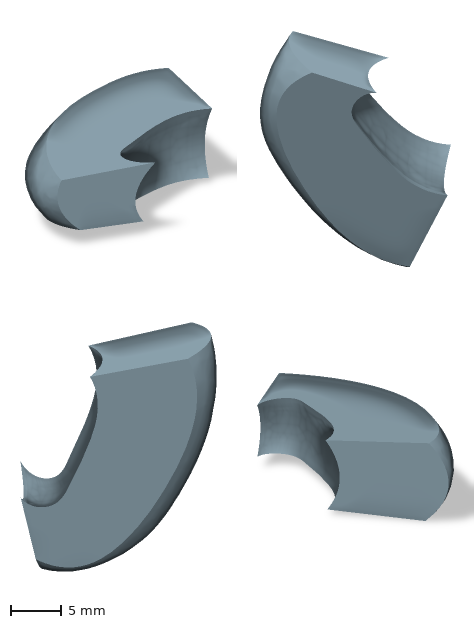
import cadquery as cq


BOTTOM_PLANE = (1.4, 0.013, -0.053)
TOP_PLANE = (7.1, -0.018, 0.049)
BELT_FRACTION = 0.43

THICK_END = {"side": 1, "offset": 36.35, "lean": 0.06}
THIN_END = {"side": -1, "offset": 7.5, "lean": -0.07}


def level_plane(fraction):
    """Plane at the given fraction of the way from the bottom face to the top face."""
    return [low + fraction * (high - low) for low, high in zip(BOTTOM_PLANE, TOP_PLANE)]


def on_plane(plane, x, y):
    """Point of the plane above the plan position (x, y)."""
    base, rise_x, rise_y = plane
    return cq.Vector(x, y, base + rise_x * x + rise_y * y)


def end_corner(plane, end, x):
    """Point with the given X where the plane meets a flat end face."""
    base, rise_x, rise_y = plane
    lean = end["lean"]
    y = (end["offset"] + lean * base + (lean * rise_x - 1) * x) / (end["side"] - lean * rise_y)
    return on_plane(plane, x, y)


def curved_side(plane, thick_end_x, thin_end_x, plan_points):
    """Smooth curve from the thick end to the thin end through the plan points."""
    start = end_corner(plane, THICK_END, thick_end_x)
    finish = end_corner(plane, THIN_END, thin_end_x)
    between = [on_plane(plane, x, y) for x, y in plan_points]
    return cq.Edge.makeSpline([start] + between + [finish])


def crescent(fraction, outer, inner):
    """Closed outline: outer curve, thin end, inner curve and thick end."""
    plane = level_plane(fraction)
    outer_edge = curved_side(plane, *outer)
    inner_edge = curved_side(plane, *inner)
    thin_edge = cq.Edge.makeLine(outer_edge.endPoint(), inner_edge.endPoint())
    thick_edge = cq.Edge.makeLine(inner_edge.startPoint(), outer_edge.startPoint())
    return cq.Wire.assembleEdges([outer_edge, thin_edge, inner_edge, thick_edge])


bottom_outline = crescent(
    0,
    outer=(8.0, 8.9, [(5.3, 25.7), (3.18, 20.87), (2.3, 15.12), (2.42, 9.07), (4.08, 4.08)]),
    inner=(15.1, 13.75, [(12.4, 18.45), (11.35, 15.42), (10.43, 10.28), (10.58, 7.55), (11.8, 6.4)]),
)
belt_outline = crescent(
    BELT_FRACTION,
    outer=(6.47, 7.32, [(3.93, 27.1), (1.2, 21.2), (0.05, 13.8), (0.35, 8.77), (3.0, 3.4), (5.0, 1.3)]),
    inner=(14.27, 13.1, [(11.8, 18.9), (10.75, 15.72), (9.77, 10.28), (9.98, 7.25), (11.2, 6.0)]),
)
top_outline = crescent(
    1,
    outer=(7.95, 7.32, [(5.15, 26.37), (3.2, 22.3), (2.0, 17.55), (2.4, 9.45), (4.3, 4.6)]),
    inner=(15.4, 14.58, [(12.73, 18.8), (11.65, 15.97), (10.6, 10.52), (10.77, 7.9), (11.73, 7.17), (13.18, 7.05)]),
)

result = cq.Workplane(cq.Solid.makeLoft([bottom_outline, belt_outline, top_outline]))